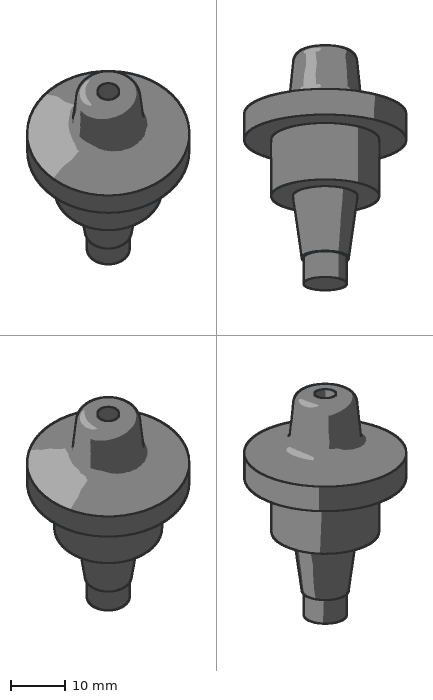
import cadquery as cq

stem_top = 5.0
taper_top = 17.0
body_top = 28.0
flange_top = 33.0
neck_base = 35.3
total_height = 45.0

stem_radius = 8.0 / 2
taper_bottom_radius = 4.35
taper_top_radius = 6.0
body_radius = 20.0 / 2
flange_radius = 30.0 / 2
neck_radius = 6.7
nose_top_radius = 5.75

neck_fillet = 2.0
nose_fillet = 2.0

bore_diameter = 4.0
bore_depth = 10.0

turned_body = (
    cq.Workplane("XZ")
    .lineTo(stem_radius, 0)
    .lineTo(stem_radius, stem_top)
    .lineTo(taper_bottom_radius, stem_top)
    .lineTo(taper_top_radius, taper_top)
    .lineTo(body_radius, taper_top)
    .lineTo(body_radius, body_top)
    .lineTo(flange_radius, body_top)
    .lineTo(flange_radius, flange_top)
    .lineTo(neck_radius, neck_base)
    .lineTo(nose_top_radius, total_height)
    .lineTo(0, total_height)
    .close()
    .revolve(360, (0, 0, 0), (0, 1, 0))
)

rounded_nose = turned_body.faces(">Z").edges().fillet(nose_fillet)
neck_edge = cq.selectors.NearestToPointSelector((0, 0, neck_base))
blended_body = rounded_nose.edges(neck_edge).fillet(neck_fillet)

result = blended_body.faces(">Z").workplane(origin=(0, 0, total_height)).hole(bore_diameter, bore_depth)